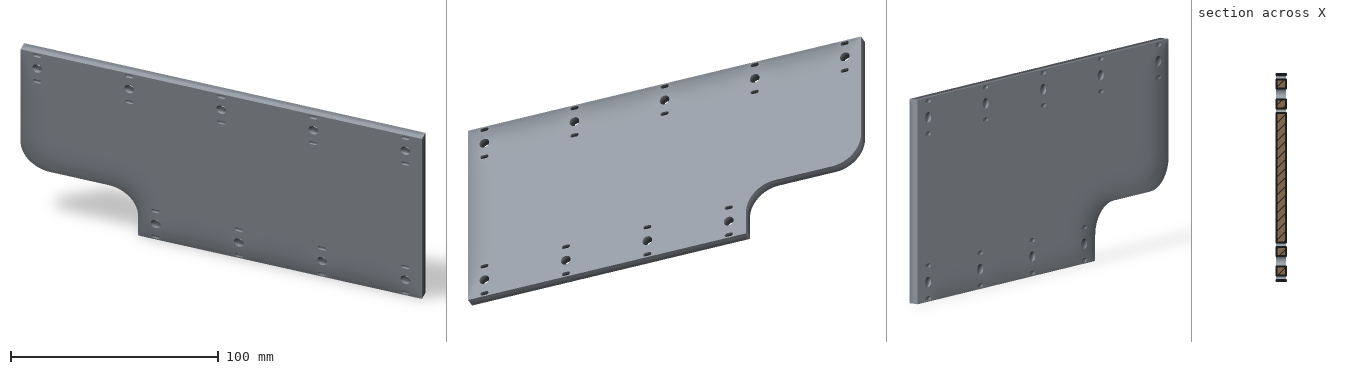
import cadquery as cq

plate_length = 205.0
plate_thickness = 5.0
plate_height = 100.0

notch_length = 60.0
notch_height = 27.4
corner_radius = 15.0

hole_diameter = 5.0
slot_length = 4.2
slot_width = 2.0
slot_offset = 8.0

side_margin = 8.5
notch_margin = 9.0
edge_margin = 9.7
top_group_count = 5
bottom_group_count = 4


def evenly_spaced(first, last, count):
    """Positions from first to last, both included, at a constant pitch."""
    pitch = (last - first) / (count - 1)
    return [first + index * pitch for index in range(count)]


def make_plate():
    """Flat upright plate with a notch and two rounded notch corners."""
    return (
        cq.Workplane("XZ")
        .moveTo(0, plate_height)
        .lineTo(plate_length, plate_height)
        .lineTo(plate_length, 0)
        .lineTo(notch_length, 0)
        .lineTo(notch_length, notch_height - corner_radius)
        .radiusArc((notch_length - corner_radius, notch_height), -corner_radius)
        .lineTo(corner_radius, notch_height)
        .radiusArc((0, notch_height + corner_radius), corner_radius)
        .close()
        .extrude(-plate_thickness)
    )


def make_group_cutter(group_centers):
    """Through cutters for the hole and both slots at every group center."""
    slot_centers = [
        (x, z + offset)
        for x, z in group_centers
        for offset in (-slot_offset, slot_offset)
    ]
    holes = (
        cq.Workplane("XZ")
        .pushPoints(group_centers)
        .circle(hole_diameter / 2)
        .extrude(-plate_thickness)
    )
    slots = (
        cq.Workplane("XZ")
        .pushPoints(slot_centers)
        .slot2D(slot_length, slot_width)
        .extrude(-plate_thickness)
    )
    return holes.add(slots).combine()


last_x = plate_length - side_margin
top_z = plate_height - edge_margin
top_x_positions = evenly_spaced(side_margin, last_x, top_group_count)
bottom_x_positions = evenly_spaced(notch_length + notch_margin, last_x, bottom_group_count)
top_centers = [(x, top_z) for x in top_x_positions]
bottom_centers = [(x, edge_margin) for x in bottom_x_positions]

result = make_plate().cut(make_group_cutter(top_centers + bottom_centers)).solids()